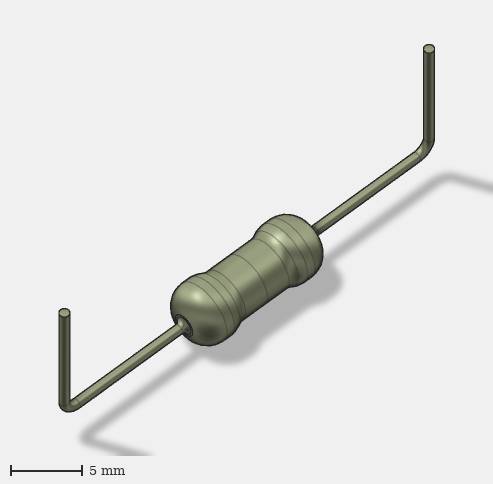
import cadquery as cq
import math

overall_length = 35.8
overall_height = 13.6

wire_diameter = 0.8
bend_radius = 1.18

bulb_diameter = 5.0
waist_diameter = 4.25
body_half_length = 6.0
dome_radius = 1.8
crest_inner_y = 3.5
waist_half_length = 2.08
collar_fillet = 0.5

wire_radius = wire_diameter / 2
bulb_radius = bulb_diameter / 2
waist_radius = waist_diameter / 2
lead_y = overall_length / 2 - wire_radius
lead_top_z = overall_height - bulb_radius
bend_start_y = lead_y - bend_radius


def arc_point(center, radius, degrees):
    """Point on a circle in the (radius, Y) half-plane."""
    angle = math.radians(degrees)
    return (center[0] + radius * math.cos(angle), center[1] + radius * math.sin(angle))


def half_body():
    """The +Y half of the body, revolved around the Y axis."""
    dome_center = (bulb_radius - dome_radius, body_half_length - dome_radius)
    collar_radius = wire_radius + collar_fillet
    collar_end_y = body_half_length + collar_fillet
    collar_center = (collar_radius, collar_end_y)

    flare_middle = ((waist_radius + bulb_radius) / 2, (waist_half_length + crest_inner_y) / 2)

    return (
        cq.Workplane("XY")
        .lineTo(waist_radius, 0)
        .lineTo(waist_radius, waist_half_length)
        .tangentArcPoint(flare_middle, relative=False)
        .tangentArcPoint((bulb_radius, crest_inner_y), relative=False)
        .lineTo(bulb_radius, dome_center[1])
        .threePointArc(arc_point(dome_center, dome_radius, 45), (dome_center[0], body_half_length))
        .lineTo(collar_radius, body_half_length)
        .threePointArc(arc_point(collar_center, collar_fillet, 225), (wire_radius, collar_end_y))
        .lineTo(0, collar_end_y)
        .close()
        .revolve(360, (0, 0, 0), (0, 1, 0))
    )


def lead():
    """The +Y lead: straight out of the body, then bent up to +Z."""
    path = (
        cq.Workplane("YZ")
        .lineTo(bend_start_y, 0)
        .tangentArcPoint((lead_y, bend_radius), relative=False)
        .lineTo(lead_y, lead_top_z)
    )
    return cq.Workplane("XZ").circle(wire_radius).sweep(path)


half = half_body().union(lead())
result = half.union(half.mirror("XZ"))